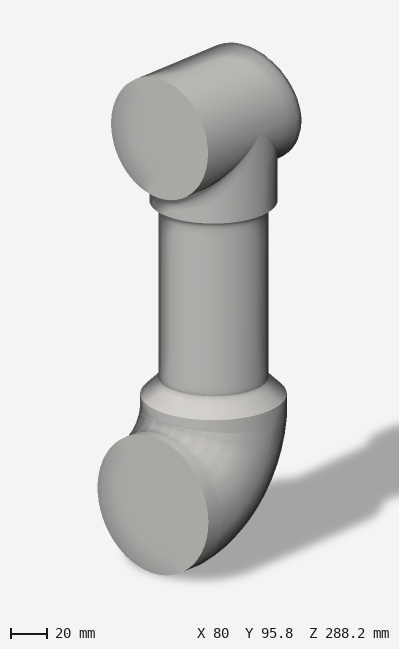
import cadquery as cq
import math

total_height = 288.2
elbow_radius = 40.0
tee_diameter = 70.0
pipe_radius = 30.0
bend_radius = 45.3
bend_trim_angle = 7.0
elbow_reach = 50.5
tee_reach = 45.0
skirt_length = 14.5
cap_distance = 39.0
cap_tilt = 15.0
cap_fillet = 10.0

tee_radius = tee_diameter / 2
elbow_axis_z = elbow_radius
socket_top_z = elbow_axis_z + elbow_reach
cone_height = elbow_radius - pipe_radius
cone_top_z = socket_top_z + cone_height
tee_axis_z = total_height - tee_radius
skirt_bottom_z = tee_axis_z - tee_radius - skirt_length
bend_center_y = -bend_radius
bend_center_z = elbow_axis_z + bend_radius
slope = math.tan(math.radians(bend_trim_angle))


def make_upright(radius, bottom_z, top_z):
    """Cylinder along the pipe axis."""
    return cq.Workplane("XY").workplane(offset=bottom_z).circle(radius).extrude(top_z - bottom_z)


def extrude_side_profile(points):
    """Prism with a YZ outline, wide enough to contain the elbow."""
    return cq.Workplane("YZ").polyline(points).close().extrude(2 * elbow_radius, both=True)


def make_bend():
    """Bend between the two tilted seams, swept from the ellipse of the cut socket."""
    tilt = math.radians(bend_trim_angle)
    seam_radius = elbow_radius / math.cos(tilt)
    seam_distance = bend_radius / math.cos(tilt)
    seam_center = (0, 0, bend_center_z + slope * bend_center_y)
    normal = (0, -math.sin(tilt), -math.cos(tilt))
    seam_plane = cq.Plane(origin=seam_center, xDir=(1, 0, 0), normal=normal)
    section = cq.Workplane(seam_plane).ellipse(elbow_radius, seam_radius)
    return section.revolve(90 - 2 * bend_trim_angle, (3, seam_distance, 0), (-3, seam_distance, 0))


def make_socket():
    """Upright end of the elbow, cut along its tilted seam."""
    blank = make_upright(elbow_radius, elbow_axis_z, socket_top_z)
    back_drop = slope * (elbow_radius - bend_center_y)
    front_drop = slope * (-elbow_radius - bend_center_y)
    keep = extrude_side_profile([
        (elbow_radius, bend_center_z - back_drop),
        (-elbow_radius, bend_center_z - front_drop),
        (-elbow_radius, socket_top_z),
        (elbow_radius, socket_top_z),
    ])
    return blank.intersect(keep)


def make_mouth():
    """Forward end of the elbow: the socket mirrored across the bend's diagonal."""
    diagonal_normal = (0, 1, 1)
    return make_socket().mirror(diagonal_normal, (0, 0, elbow_axis_z))


def make_cone():
    """Reducer from the elbow socket to the pipe."""
    rim = cq.Workplane("XY").workplane(offset=socket_top_z).circle(elbow_radius)
    return rim.workplane(offset=cone_height).circle(pipe_radius).loft(ruled=True)


def make_tee():
    """Horizontal barrel with a slanted, rounded back cap and a skirt."""
    cap_shift = tee_radius * math.tan(math.radians(cap_tilt))
    barrel_length = tee_reach + cap_distance + cap_shift
    barrel = (
        cq.Workplane("XZ", origin=(0, -tee_reach, tee_axis_z))
        .circle(tee_radius)
        .extrude(-barrel_length)
    )
    keep = extrude_side_profile([
        (-tee_reach, tee_axis_z - tee_radius),
        (cap_distance + cap_shift, tee_axis_z - tee_radius),
        (cap_distance - cap_shift, tee_axis_z + tee_radius),
        (-tee_reach, tee_axis_z + tee_radius),
    ])
    skirt = make_upright(tee_radius, skirt_bottom_z, tee_axis_z)
    tee = barrel.intersect(keep).union(skirt)
    return tee.faces(">Y").edges().fillet(cap_fillet)


pipe = make_upright(pipe_radius, cone_top_z, skirt_bottom_z)
elbow = make_bend().union(make_socket()).union(make_mouth())
result = elbow.union(make_cone()).union(pipe).union(make_tee())